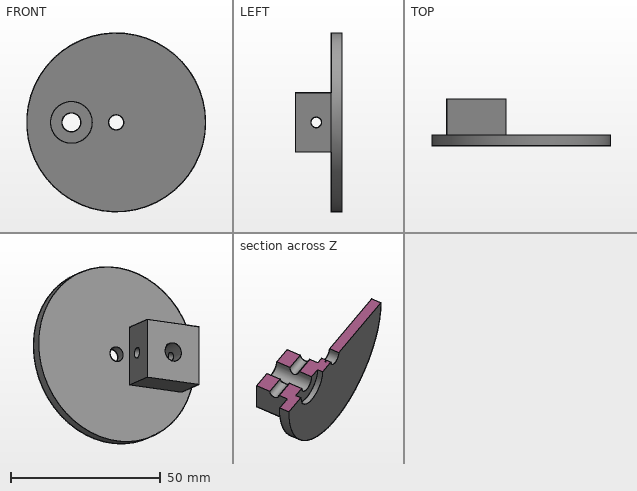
import cadquery as cq

disc_diameter = 60.0
disc_thickness = 3.7
block_side = 20.0
block_depth = 12.0
block_offset = 15.0
center_hole_diameter = 5.0
bore_diameter = 6.25
recess_diameter = 14.0
recess_depth = 2.0
cross_hole_diameter = 3.5
cross_hole_from_back = 7.0

total_depth = disc_thickness + block_depth
block_center_x = -block_offset
cross_hole_y = total_depth - cross_hole_from_back


def rod_along_y(diameter, length, x=0):
    """Cylinder running from the front face toward +Y."""
    return cq.Workplane("XZ").center(x, 0).circle(diameter / 2).extrude(-length)


disc = rod_along_y(disc_diameter, disc_thickness)
block = cq.Workplane("XY").box(block_side, total_depth, block_side).translate(
    (block_center_x, total_depth / 2, 0)
)
body = disc.union(block)

center_hole = rod_along_y(center_hole_diameter, disc_thickness)

bore = rod_along_y(bore_diameter, total_depth, block_center_x)
recess = rod_along_y(recess_diameter, recess_depth, block_center_x)

cross_hole = (
    cq.Workplane("YZ", origin=(block_center_x, 0, 0))
    .center(cross_hole_y, 0)
    .circle(cross_hole_diameter / 2)
    .extrude(block_side / 2, both=True)
)

result = body.cut(center_hole).cut(bore).cut(recess).cut(cross_hole)